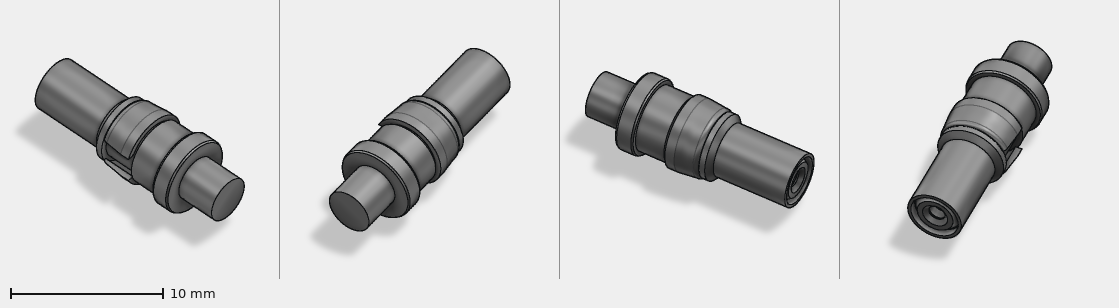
import cadquery as cq

length = 15.3
collar_cone_start = 5.42
collar_start = 5.81
clip_start = 6.27
clip_nose_end = 6.64
clip_taper_end = 7.99
clip_end = 8.69
shoulder_start = 8.9
flange_start = 11.06
flange_end = 12.41

tube_radius = 1.93
collar_radius = 2.37
flange_radius = 5.5 / 2
tail_radius = 1.6
flange_chamfer_length = 0.14
flange_chamfer_height = 0.08

clip_nose_radius = 2.3
clip_nose_middle = (6.4, 2.43)
clip_taper_radius = 2.5
clip_radius = 2.63
clip_inner_radius = 2.2
split_width = 2.05

socket_radius = 1.7
socket_depth = 0.61
insert_recess = 0.09
insert_base_radius = 1.62
insert_face_radius = 1.29
countersink_radius = 0.9
countersink_depth = 0.38
lip_radius = 0.58
lip_end = 0.52
contact_bore_radius = 0.65
contact_depth = 1.22
contact_tip_length = 0.34


def turned(outline):
    """Revolve a closed (x, radius) sketch about the X axis."""
    return outline.close().revolve(360, (0, 0, 0), (1, 0, 0))


def make_body():
    chamfer_radius = flange_radius - flange_chamfer_height
    return turned(cq.Workplane("XY").polyline([
        (0, 0),
        (0, tube_radius),
        (collar_cone_start, tube_radius),
        (collar_start, collar_radius),
        (clip_start, collar_radius),
        (clip_start, tube_radius),
        (shoulder_start, tube_radius),
        (shoulder_start, collar_radius),
        (flange_start, collar_radius),
        (flange_start, chamfer_radius),
        (flange_start + flange_chamfer_length, flange_radius),
        (flange_end - flange_chamfer_length, flange_radius),
        (flange_end, chamfer_radius),
        (flange_end, tail_radius),
        (length, tail_radius),
        (length, 0),
    ]))


def make_clip():
    sleeve = turned(
        cq.Workplane("XY")
        .moveTo(clip_start, clip_inner_radius)
        .lineTo(clip_start, clip_nose_radius)
        .threePointArc(clip_nose_middle, (clip_nose_end, clip_taper_radius))
        .lineTo(clip_taper_end, clip_radius)
        .lineTo(clip_end, clip_radius)
        .lineTo(clip_end, clip_inner_radius)
    )
    split = cq.Workplane("XY").box(
        clip_end - clip_start, flange_radius, split_width, centered=(False, False, True)
    ).translate((clip_start, -flange_radius, 0))
    return sleeve.cut(split)


def make_socket():
    """Ring-shaped space between the tube bore and the tapered insert."""
    return turned(cq.Workplane("XY").polyline([
        (0, 0),
        (0, socket_radius),
        (socket_depth, socket_radius),
        (socket_depth, insert_base_radius),
        (insert_recess, insert_face_radius),
        (insert_recess, 0),
    ]))


def make_contact_hole():
    """Countersunk blind hole, wider behind its entry lip, with a conical bottom."""
    return turned(cq.Workplane("XY").polyline([
        (insert_recess, 0),
        (insert_recess, countersink_radius),
        (countersink_depth, lip_radius),
        (lip_end, lip_radius),
        (lip_end, contact_bore_radius),
        (contact_depth, contact_bore_radius),
        (contact_depth + contact_tip_length, 0),
    ]))


result = make_body().union(make_clip()).cut(make_socket()).cut(make_contact_hole())